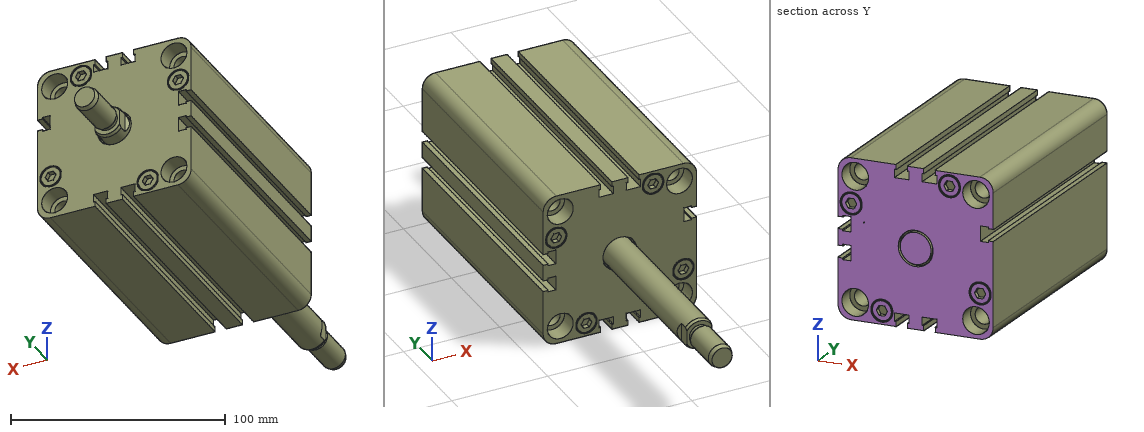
import cadquery as cq
width = 80.0
corner_radius = 6.8
body_front = -25.2
body_back = 100.5
body_length = body_back - body_front

slot_offset = 7.0
single_slot_offset = 12.0
slot_neck_width = 5.8
slot_neck_depth = 2.5
slot_width = 7.4
slot_depth = 6.5

mount_offset = 31.0
mount_diameter = 8.7
counterbore_diameter = 13.5
counterbore_depth = 9.0

screw_long_offset = 33.1
screw_short_offset = 17.4
screw_bore_diameter = 11.0
screw_head_diameter = 10.0
screw_gap_depth = 1.0
socket_sides = 6
socket_diameter = 5.5
socket_depth = 2.5

rod_recess_diameter = 17.5
rod_recess_depth = 2.0

rod_half_length = 131.5
rod_diameter = 16.0
rod_chamfer = 0.65
rod_chamfer_length = 1.5
stud_diameter = 12.0
stud_end_diameter = 10.5
stud_chamfer_length = 2.4
neck_diameter = 10.5
stud_length = 21.0
neck_cone_length = 0.8
shoulder_distance = 23.7

flat_width = 13.0
flat_length = 5.5

FACES = [(body_front, 1), (body_back, -1)]


def on_end_face(points, face_y, inward):
    """Workplane on an end face, normal into the body, with the given (X, Z) points selected."""
    plane = cq.Plane(origin=(0, face_y, 0), xDir=(-inward, 0, 0), normal=(0, inward, 0))
    local_points = [(-inward * x, z) for x, z in points]
    return cq.Workplane(plane).pushPoints(local_points)


def cylinders(points, diameter, depth, face_y, inward):
    """Cylinders at (X, Z) points, running into the body from an end face."""
    return on_end_face(points, face_y, inward).circle(diameter / 2).extrude(depth)


def t_slot(offset, angle):
    """T-slot cutter made at the top side and turned about Y to its own side."""
    neck = cq.Workplane("XY").box(slot_neck_width, body_length, slot_depth, centered=(True, False, False))
    wide = cq.Workplane("XY").box(
        slot_width, body_length, slot_depth - slot_neck_depth, centered=(True, False, False)
    )
    slot = neck.union(wide).translate((offset, body_front, width / 2 - slot_depth))
    return slot.rotate((0, 0, 0), (0, 1, 0), angle)


def make_body():
    """Rounded square body with slot pairs on three sides and a single slot on the +X side."""
    body = cq.Workplane("XY").box(width, body_length, width, centered=(True, False, True))
    body = body.translate((0, body_front, 0)).edges("|Y").fillet(corner_radius)
    for angle in (0, 180, 270):
        for offset in (-slot_offset, slot_offset):
            body = body.cut(t_slot(offset, angle))
    return body.cut(t_slot(-single_slot_offset, 90))


def cut_mounting_holes(body):
    """Through holes in the four corners, counterbored from both ends."""
    corners = [(x, z) for x in (-mount_offset, mount_offset) for z in (-mount_offset, mount_offset)]
    body = body.cut(cylinders(corners, mount_diameter, body_length, *FACES[0]))
    for face in FACES:
        body = body.cut(cylinders(corners, counterbore_diameter, counterbore_depth, *face))
    return body


def cut_cover_screws(body):
    """Ring gap and hexagon socket of four screws per end, a quarter turn apart."""
    centers = [
        (screw_short_offset, screw_long_offset),
        (screw_long_offset, -screw_short_offset),
        (-screw_short_offset, -screw_long_offset),
        (-screw_long_offset, screw_short_offset),
    ]
    for face in FACES:
        gaps = cylinders(centers, screw_bore_diameter, screw_gap_depth, *face)
        gaps = gaps.cut(cylinders(centers, screw_head_diameter, screw_gap_depth, *face))
        sockets = on_end_face(centers, *face).polygon(socket_sides, socket_diameter).extrude(socket_depth)
        body = body.cut(gaps).cut(sockets)
    return body


def cut_rod_recesses(body):
    """Shallow round recess around the rod in each end face."""
    for face in FACES:
        body = body.cut(cylinders([(0, 0)], rod_recess_diameter, rod_recess_depth, *face))
    return body


def make_rod():
    """Revolve the half profile of one rod end, cut its flats, then mirror it to the other end."""
    shoulder = rod_half_length - shoulder_distance
    stud_start = rod_half_length - stud_length
    profile = [
        (0, 0),
        (rod_diameter / 2, 0),
        (rod_diameter / 2, shoulder - rod_chamfer_length),
        (rod_diameter / 2 - rod_chamfer, shoulder),
        (neck_diameter / 2, shoulder),
        (neck_diameter / 2, stud_start - neck_cone_length),
        (stud_diameter / 2, stud_start),
        (stud_diameter / 2, rod_half_length - stud_chamfer_length),
        (stud_end_diameter / 2, rod_half_length),
        (0, rod_half_length),
    ]
    end = cq.Workplane("XY").polyline(profile).close().revolve(360, (0, 0, 0), (0, 1, 0))

    flat_x = flat_width / 2
    runout = rod_diameter / 2 - flat_x
    flat_start = shoulder - flat_length
    flat_outline = [
        (flat_x, shoulder),
        (flat_x, flat_start),
        (flat_x + runout, flat_start - runout),
        (flat_x + runout, shoulder),
    ]
    flat = cq.Workplane("XY").polyline(flat_outline).close().extrude(rod_diameter / 2, both=True)
    end = end.cut(flat).cut(flat.mirror("YZ"))
    return end.union(end.mirror("XZ"))


body = make_body()
body = cut_mounting_holes(body)
body = cut_cover_screws(body)
body = cut_rod_recesses(body)
result = body.union(make_rod())